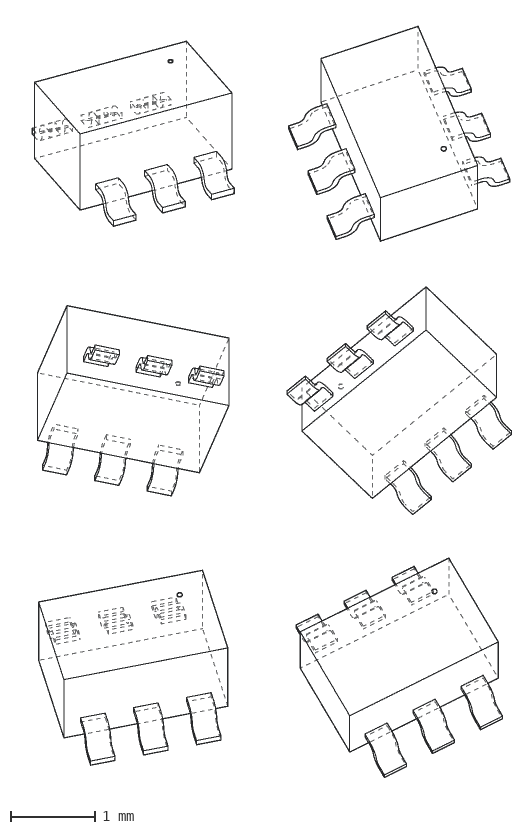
import cadquery as cq
import math

overall_length = 2.21
housing_length = 1.238
housing_width = 2.01
housing_height = 1.09

leads_per_side = 3
lead_pitch = 0.65
lead_width = 0.3
lead_thickness = 0.08
lead_top = 0.315
shoulder_length = 0.122
inner_bend_radius = 0.08
bend_angle = math.radians(75)

mark_diameter = 0.062
mark_depth = 0.01
mark_x = -0.32
mark_y = lead_pitch

outer_bend_radius = inner_bend_radius + lead_thickness
bend_run = (outer_bend_radius + inner_bend_radius) * math.sin(bend_angle)
bend_drop = (outer_bend_radius + inner_bend_radius) * (1 - math.cos(bend_angle))
leg_drop = lead_top - lead_thickness - bend_drop
leg_run = leg_drop / math.tan(bend_angle)


def make_mark():
    """Thin disc whose upper face is level with the top of the housing."""
    return (
        cq.Workplane("XY", origin=(mark_x, mark_y, housing_height - mark_depth))
        .circle(mark_diameter / 2)
        .extrude(mark_depth)
    )


def make_housing(mark):
    """Block with a recess that fits the mark."""
    block = cq.Workplane("XY").box(
        housing_length, housing_width, housing_height, centered=(True, True, False)
    )
    return block.cut(mark)


def arc_point(center, radius, angle):
    """Point on a circle, with the angle measured from +X toward +Z."""
    return (center[0] + radius * math.cos(angle), center[1] + radius * math.sin(angle))


def make_lead():
    """S-bent strip on the +X side, centred on Y = 0."""
    root_x = housing_length / 2
    toe_x = overall_length / 2
    shoulder_x = root_x + shoulder_length
    heel_x = shoulder_x + bend_run + leg_run

    upper = (shoulder_x, lead_top - outer_bend_radius)
    lower = (heel_x, outer_bend_radius)
    upper_start = math.pi / 2
    upper_end = upper_start - bend_angle
    upper_middle = upper_start - bend_angle / 2
    lower_start = upper_end + math.pi
    lower_end = upper_start + math.pi
    lower_middle = upper_middle + math.pi

    profile = (
        cq.Workplane("XZ", origin=(0, lead_width / 2, 0))
        .moveTo(root_x, lead_top)
        .lineTo(shoulder_x, lead_top)
        .threePointArc(
            arc_point(upper, outer_bend_radius, upper_middle),
            arc_point(upper, outer_bend_radius, upper_end),
        )
        .lineTo(*arc_point(lower, inner_bend_radius, lower_start))
        .threePointArc(
            arc_point(lower, inner_bend_radius, lower_middle),
            arc_point(lower, inner_bend_radius, lower_end),
        )
        .lineTo(toe_x, lead_thickness)
        .lineTo(toe_x, 0)
        .lineTo(heel_x, 0)
        .threePointArc(
            arc_point(lower, outer_bend_radius, lower_middle),
            arc_point(lower, outer_bend_radius, lower_start),
        )
        .lineTo(*arc_point(upper, inner_bend_radius, upper_end))
        .threePointArc(
            arc_point(upper, inner_bend_radius, upper_middle),
            arc_point(upper, inner_bend_radius, upper_start),
        )
        .lineTo(root_x, lead_top - lead_thickness)
        .close()
    )
    return profile.extrude(lead_width)


def make_leads():
    """A row of separate leads along each long side of the housing."""
    right_lead = make_lead()
    left_lead = right_lead.mirror("YZ")
    leads = []
    for row in range(leads_per_side):
        row_y = (row - (leads_per_side - 1) / 2) * lead_pitch
        for lead in (right_lead, left_lead):
            leads.append(lead.translate((0, row_y, 0)).val())
    return leads


mark = make_mark()
housing = make_housing(mark)
leads = make_leads()

result = cq.Compound.makeCompound([housing.val(), mark.val(), *leads])